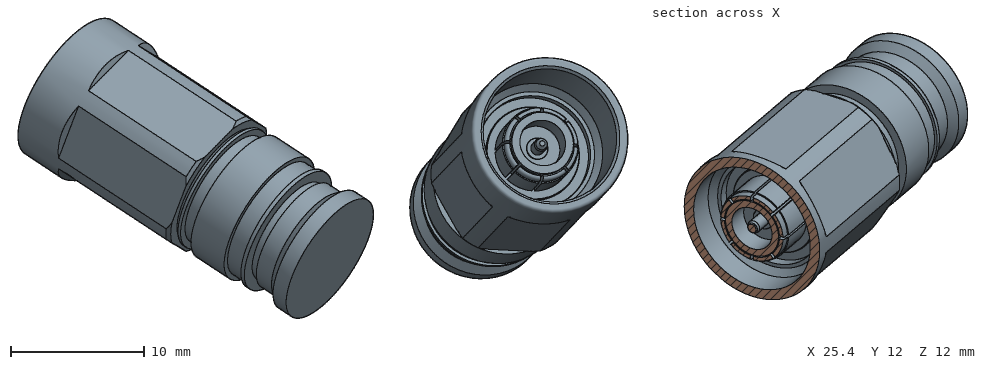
import cadquery as cq
import math

length = 25.37

nut_diameter = 12.0
nut_radius = nut_diameter / 2
nut_end = 14.66
nut_front_round = 0.25
nut_rear_chamfer = 0.25
flat_count = 6
flat_distance = 5.5
flat_start = 4.03
flat_ramp_angle = 60.0

retainer_edge_radius = 5.0
flange_radius = 5.23
retainer_chamfer_end = 14.95
retainer_end = 15.2
neck_radius = 4.7
neck_end = 16.35
collar_radius = 5.4
collar_end = 19.53
shoulder_radius = 5.0
shoulder_end = 21.0
snap_ring_end = 21.34
groove_radius = 4.3
groove_end = 22.0
tail_radius = 4.62
tail_end = 23.47
rim_start = 24.1

mouth_radius = 5.33
bore_radius = 5.12
bore_depth = 5.07
throat_radius = 4.62
throat_start = 5.6
recess_radius = 4.31
recess_floor = 6.35

base_radius = 3.58
base_face = 6.1
base_chamfer = 0.05

collet_face = 2.97
collet_face_inner_radius = 2.49
collet_outer_radius = 2.82
collet_tip_round = 0.23
collet_shoulder_radius = 2.92
collet_shoulder = 3.55
slot_count = 8
slot_width = 0.2

sleeve_radius = 2.35
sleeve_bore_radius = 1.75
sleeve_face = 2.71
sleeve_floor = 4.7
pin_tip = 2.85
pin_tip_radius = 0.2
pin_cone_end = 3.12
pin_cone_radius = 0.43
pin_body_start = 3.32
pin_radius = 0.5
pin_shoulder_radius = 0.8
pin_shoulder = 4.57


def revolve_about_axis(points):
    """Revolve a closed outline of (x, radius) points about the X axis."""
    return cq.Workplane("XY").polyline(points).close().revolve(360, (0, 0, 0), (1, 0, 0))


def tube(x_start, x_end, inner_radius, outer_radius):
    return revolve_about_axis([
        (x_start, inner_radius),
        (x_end, inner_radius),
        (x_end, outer_radius),
        (x_start, outer_radius),
    ])


def outer_body():
    body = revolve_about_axis([
        (0, 0),
        (0, nut_radius),
        (nut_end - nut_rear_chamfer, nut_radius),
        (nut_end, nut_radius - nut_rear_chamfer),
        (nut_end, retainer_edge_radius),
        (retainer_chamfer_end, flange_radius),
        (retainer_end, flange_radius),
        (retainer_end, neck_radius),
        (neck_end, neck_radius),
        (neck_end, collar_radius),
        (collar_end, collar_radius),
        (collar_end, shoulder_radius),
        (shoulder_end, shoulder_radius),
        (shoulder_end, flange_radius),
        (snap_ring_end, flange_radius),
        (snap_ring_end, groove_radius),
        (groove_end, groove_radius),
        (groove_end, tail_radius),
        (tail_end, tail_radius),
        (rim_start, flange_radius),
        (length, flange_radius),
        (length, 0),
    ])
    return body.faces("<X").edges().fillet(nut_front_round)


def wrench_flat_cutter():
    """Material above the +Z flat, from its sloping run-out to the nut's rear end."""
    cut_height = 2 * (nut_radius - flat_distance)
    ramp_length = cut_height / math.tan(math.radians(flat_ramp_angle))
    return (
        cq.Workplane("XZ")
        .polyline([
            (flat_start, flat_distance),
            (nut_end, flat_distance),
            (nut_end, flat_distance + cut_height),
            (flat_start - ramp_length, flat_distance + cut_height),
        ])
        .close()
        .extrude(nut_radius, both=True)
    )


def socket():
    mouth_chamfer = mouth_radius - bore_radius
    return revolve_about_axis([
        (0, 0),
        (0, mouth_radius),
        (mouth_chamfer, bore_radius),
        (bore_depth, bore_radius),
        (throat_start, throat_radius),
        (throat_start, recess_radius),
        (recess_floor, recess_radius),
        (recess_floor, 0),
    ])


def contact_base():
    return revolve_about_axis([
        (base_face, 0),
        (base_face, base_radius - base_chamfer),
        (base_face + base_chamfer, base_radius),
        (recess_floor, base_radius),
        (recess_floor, 0),
    ])


def collet():
    inner_chamfer = collet_face_inner_radius - sleeve_radius
    ring = revolve_about_axis([
        (collet_face + inner_chamfer, sleeve_radius),
        (collet_face, collet_face_inner_radius),
        (collet_face, collet_outer_radius),
        (collet_shoulder, collet_outer_radius),
        (collet_shoulder, collet_shoulder_radius),
        (base_face, collet_shoulder_radius),
        (base_face, sleeve_radius),
    ])
    outer_edge = cq.selectors.RadiusNthSelector(-1)
    ring = ring.faces("<X").edges(outer_edge).fillet(collet_tip_round)
    slot_length = base_face - collet_face
    slot = cq.Workplane("XY").box(
        slot_length, slot_width, collet_shoulder_radius, centered=(False, True, False)
    ).translate((collet_face, 0, 0))
    for i in range(slot_count):
        ring = ring.cut(slot.rotate((0, 0, 0), (1, 0, 0), i * 360 / slot_count))
    return ring


def inner_sleeve():
    wall = tube(sleeve_face, base_face, sleeve_bore_radius, sleeve_radius)
    floor = tube(sleeve_floor, base_face, 0, sleeve_radius)
    return wall.union(floor)


def centre_pin():
    return revolve_about_axis([
        (pin_tip, 0),
        (pin_tip, pin_tip_radius),
        (pin_cone_end, pin_cone_radius),
        (pin_body_start, pin_radius),
        (pin_shoulder, pin_radius),
        (pin_shoulder, pin_shoulder_radius),
        (sleeve_floor, pin_shoulder_radius),
        (sleeve_floor, 0),
    ])


result = outer_body()
for i in range(flat_count):
    result = result.cut(wrench_flat_cutter().rotate((0, 0, 0), (1, 0, 0), i * 360 / flat_count))
result = result.cut(socket())
for contact_part in (contact_base(), collet(), inner_sleeve(), centre_pin()):
    result = result.union(contact_part)